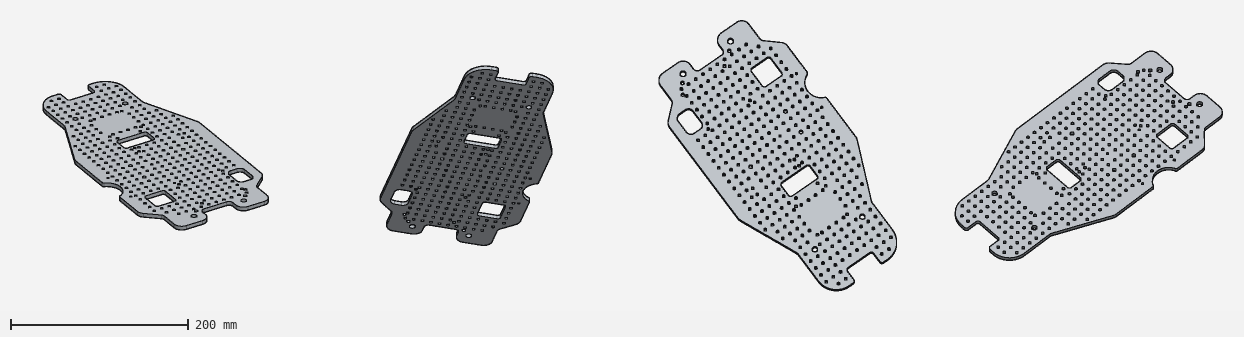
import cadquery as cq

LENGTH = 326.48
WIDTH = 164.01
THICKNESS = 5.0

LEFT_END = -154.04
RIGHT_END = LEFT_END + LENGTH
BODY_HALF_WIDTH = WIDTH / 2
TAIL_HALF_WIDTH = 51.6
TAIL_CORNER_RADIUS = 25.0
TAIL_TAPER_START_X = -88.9
TAIL_TAPER_END_X = -17.8
TAIL_TAPER_RADIUS = 10.0
TAIL_NOTCH_DEPTH = 18.2
TAIL_NOTCH_HALF_WIDTH = 18.1
TAIL_NOTCH_INNER_RADIUS = 3.0
TAIL_NOTCH_OUTER_RADIUS = 3.0
SHOULDER_START_X = 120.7
SHOULDER_END_X = 138.9
SHOULDER_RADIUS = 10.0
SHOULDER_FOOT_RADIUS = 5.0
EAR_HALF_WIDTH = 61.6
EAR_CORNER_RADIUS = 10.0
NOSE_NOTCH_DEPTH = 21.5
NOSE_NOTCH_HALF_WIDTH = 20.0
NOSE_NOTCH_INNER_RADIUS = 5.0
NOSE_NOTCH_OUTER_RADIUS = 10.0

BITE_X = 59.5
BITE_CHORD = 35.0
BITE_DEPTH = 12.6
BITE_RIM_RADIUS = 2.0

WINDOWS = [
    (-20.5, 0.0, 20.0, 40.0, 3.0),
    (108.3, 59.75, 28.4, 20.7, 6.3),
    (105.2, -44.8, 27.0, 27.0, 3.0),
]

GRID_PITCH = 10.0
GRID_COLUMNS = 30
GRID_FIRST_X = -(GRID_COLUMNS - 1) * GRID_PITCH / 2
GRID_HOLE_DIAMETER = 3.1
GRID_ROWS = [
    (65.0, [(10, 23)]),
    (55.0, [(8, 23)]),
    (45.0, [(1, 13), (16, 29)]),
    (35.0, [(0, 4), (6, 16), (18, 29)]),
    (25.0, [(0, 5), (7, 29)]),
    (15.0, [(2, 6), (10, 11), (14, 29)]),
    (5.0, [(2, 6), (10, 10), (14, 29)]),
    (-5.0, [(2, 6), (10, 10), (14, 29)]),
    (-15.0, [(2, 6), (10, 11), (14, 17), (19, 22), (24, 29)]),
    (-25.0, [(0, 5), (7, 9), (11, 29)]),
    (-35.0, [(0, 4), (6, 16), (18, 19), (21, 23), (27, 29)]),
    (-45.0, [(1, 23), (27, 29)]),
    (-55.0, [(8, 23), (27, 28)]),
    (-65.0, [(10, 27)]),
]

WIDE_GRID_HOLE_DIAMETER = 4.2
WIDE_GRID_HOLES = [(17, 35.0), (17, -35.0), (20, -35.0)]

HOLE_PATTERNS = [
    (6.1, (-96.5,), (33.0, -33.0)),
    (6.6, (158.5,), (33.0, -33.0)),
    (3.2, (-84.2, -42.8), (20.7, -20.7)),
    (3.1, (-6.0, 3.0, 89.0), (48.0, -10.0)),
    (3.5, (138.6,), (47.7, -10.3)),
    (4.0, (150.1,), (39.9, -25.1)),
    (2.5, (35.0, 84.0), (-13.0, -71.0)),
]


def round_corner(plate, x, y, radius):
    """Fillet the upright outline edge that stands at (x, y)."""
    corner = cq.selectors.NearestToPointSelector((x, y, THICKNESS / 2))
    return plate.edges("|Z").edges(corner).fillet(radius)


def round_corner_pair(plate, x, half_width, radius):
    """Fillet the mirrored outline edges at (x, half_width) and (x, -half_width)."""
    plate = round_corner(plate, x, half_width, radius)
    return round_corner(plate, x, -half_width, radius)


def make_plate():
    """Plate outline, symmetric about the X axis, with its corners rounded."""
    tail_notch_x = LEFT_END + TAIL_NOTCH_DEPTH
    nose_notch_x = RIGHT_END - NOSE_NOTCH_DEPTH
    upper = [
        (tail_notch_x, TAIL_NOTCH_HALF_WIDTH),
        (LEFT_END, TAIL_NOTCH_HALF_WIDTH),
        (LEFT_END, TAIL_HALF_WIDTH),
        (TAIL_TAPER_START_X, TAIL_HALF_WIDTH),
        (TAIL_TAPER_END_X, BODY_HALF_WIDTH),
        (SHOULDER_START_X, BODY_HALF_WIDTH),
        (SHOULDER_END_X, EAR_HALF_WIDTH),
        (RIGHT_END, EAR_HALF_WIDTH),
        (RIGHT_END, NOSE_NOTCH_HALF_WIDTH),
        (nose_notch_x, NOSE_NOTCH_HALF_WIDTH),
    ]
    lower = [(x, -y) for x, y in reversed(upper)]
    plate = cq.Workplane("XY").polyline(upper + lower).close().extrude(THICKNESS)
    plate = round_corner_pair(plate, tail_notch_x, TAIL_NOTCH_HALF_WIDTH, TAIL_NOTCH_INNER_RADIUS)
    plate = round_corner_pair(plate, LEFT_END, TAIL_NOTCH_HALF_WIDTH, TAIL_NOTCH_OUTER_RADIUS)
    plate = round_corner_pair(plate, LEFT_END, TAIL_HALF_WIDTH, TAIL_CORNER_RADIUS)
    plate = round_corner_pair(plate, TAIL_TAPER_START_X, TAIL_HALF_WIDTH, TAIL_TAPER_RADIUS)
    plate = round_corner_pair(plate, TAIL_TAPER_END_X, BODY_HALF_WIDTH, TAIL_TAPER_RADIUS)
    plate = round_corner_pair(plate, SHOULDER_START_X, BODY_HALF_WIDTH, SHOULDER_RADIUS)
    plate = round_corner_pair(plate, SHOULDER_END_X, EAR_HALF_WIDTH, SHOULDER_FOOT_RADIUS)
    plate = round_corner_pair(plate, RIGHT_END, EAR_HALF_WIDTH, EAR_CORNER_RADIUS)
    plate = round_corner_pair(plate, RIGHT_END, NOSE_NOTCH_HALF_WIDTH, NOSE_NOTCH_OUTER_RADIUS)
    return round_corner_pair(plate, nose_notch_x, NOSE_NOTCH_HALF_WIDTH, NOSE_NOTCH_INNER_RADIUS)


def cut_edge_bite(plate):
    """Circular bite through the -Y edge, sized by its chord and depth."""
    radius = ((BITE_CHORD / 2) ** 2 + BITE_DEPTH**2) / (2 * BITE_DEPTH)
    centre_y = -BODY_HALF_WIDTH + BITE_DEPTH - radius
    bite = cq.Workplane("XY").center(BITE_X, centre_y).circle(radius).extrude(THICKNESS)
    plate = plate.cut(bite)
    for rim_x in (BITE_X - BITE_CHORD / 2, BITE_X + BITE_CHORD / 2):
        plate = round_corner(plate, rim_x, -BODY_HALF_WIDTH, BITE_RIM_RADIUS)
    return plate


def cut_windows(plate):
    """Rectangular windows with rounded corners."""
    for x, y, length, width, radius in WINDOWS:
        window = cq.Workplane("XY").center(x, y).rect(length, width).extrude(THICKNESS)
        plate = plate.cut(window.edges("|Z").fillet(radius))
    return plate


def column_x(column):
    """X of a grid column."""
    return GRID_FIRST_X + column * GRID_PITCH


def grid_points():
    """Centres of the plain grid holes."""
    return [
        (column_x(column), y)
        for y, runs in GRID_ROWS
        for first, last in runs
        for column in range(first, last + 1)
    ]


def hole_rims(diameter, points):
    """Circles of one diameter on the underside of the plate."""
    up = cq.Vector(0, 0, 1)
    return [cq.Wire.makeCircle(diameter / 2, cq.Vector(x, y, 0), up) for x, y in points]


def drill(plate, rims):
    """Plate with a straight through hole inside every rim.

    The underside is extruded anew with the rims as inner wires, which is much faster than hundreds of cuts.
    """
    underside = plate.faces("<Z").val()
    inner_wires = underside.innerWires() + rims
    thickness = cq.Vector(0, 0, THICKNESS)
    return cq.Workplane(cq.Solid.extrudeLinear(underside.outerWire(), inner_wires, thickness))


holes = hole_rims(GRID_HOLE_DIAMETER, grid_points())
holes += hole_rims(WIDE_GRID_HOLE_DIAMETER, [(column_x(column), y) for column, y in WIDE_GRID_HOLES])
for hole_diameter, x_places, y_places in HOLE_PATTERNS:
    holes += hole_rims(hole_diameter, [(x, y) for x in x_places for y in y_places])

result = drill(cut_windows(cut_edge_bite(make_plate())), holes)